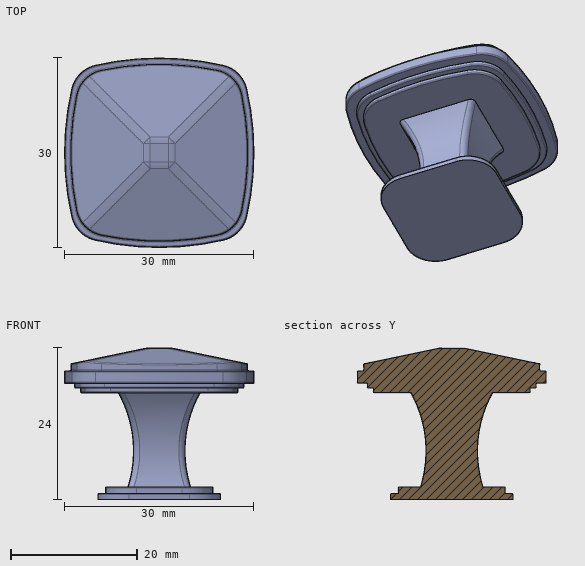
import cadquery as cq
import math

TOTAL_HEIGHT = 24.0
HEAD_WIDTH = 30.0

FOOT_TOP = 1.0
STEP_TOP = 2.0
HEAD_BOTTOM = 16.9
COLLAR_TOP = 17.65
PLATE_BOTTOM = 18.4
PLATE_TOP = 20.4

FOOT_WIDTH = 19.4
STEP_WIDTH = 17.0
LOWER_COLLAR_WIDTH = 24.9
UPPER_COLLAR_WIDTH = 26.85
CROWN_WIDTH = 28.0

CORNER_RADIUS = 5.0
SIDE_RADIUS = 45.0
FOOT_CORNER_RADIUS = 4.9

POST_BOTTOM_HALF = 4.95
POST_NECK_HALF = 4.08
POST_TOP_HALF = 6.45
NECK_HEIGHT = 7.92
POST_EDGE_RADIUS = 1.0

CROWN_SLOPE = 11.8
APEX_HALF = 1.98
RIDGE_RADIUS = 5.2

EDGE_RADIUS = 0.2


def cushion(width, bottom, top):
    """Plate with four bulging sides that run tangent into round corners."""
    half = width / 2
    side_center = SIDE_RADIUS - half
    reach = SIDE_RADIUS - CORNER_RADIUS
    corner_center = (math.sqrt(2 * reach**2 - side_center**2) - side_center) / 2
    along = SIDE_RADIUS * corner_center / reach
    out = SIDE_RADIUS * (corner_center + side_center) / reach - side_center
    corner = corner_center + CORNER_RADIUS / math.sqrt(2)
    outline = (
        cq.Workplane("XY", origin=(0, 0, bottom))
        .moveTo(-along, out)
        .threePointArc((0, half), (along, out))
        .threePointArc((corner, corner), (out, along))
        .threePointArc((half, 0), (out, -along))
        .threePointArc((corner, -corner), (along, -out))
        .threePointArc((0, -half), (-along, -out))
        .threePointArc((-corner, -corner), (-out, -along))
        .threePointArc((-half, 0), (-out, along))
        .threePointArc((-corner, corner), (-along, out))
        .close()
    )
    return outline.extrude(top - bottom)


def foot_plate(width, bottom, top):
    """Straight-sided plate with round corners and a softened top edge."""
    plate = cq.Workplane("XY", origin=(0, 0, bottom)).rect(width, width).extrude(top - bottom)
    return plate.edges("|Z").fillet(FOOT_CORNER_RADIUS).faces(">Z").edges().fillet(EDGE_RADIUS)


def flared_bar(plane):
    """Waisted profile drawn on an upright plane and extruded both ways."""
    return (
        cq.Workplane(plane)
        .moveTo(-POST_BOTTOM_HALF, STEP_TOP)
        .lineTo(POST_BOTTOM_HALF, STEP_TOP)
        .threePointArc((POST_NECK_HALF, NECK_HEIGHT), (POST_TOP_HALF, HEAD_BOTTOM))
        .lineTo(-POST_TOP_HALF, HEAD_BOTTOM)
        .threePointArc((-POST_NECK_HALF, NECK_HEIGHT), (-POST_BOTTOM_HALF, STEP_TOP))
        .close()
        .extrude(POST_TOP_HALF * 2, both=True)
    )


def post():
    """Square post flared towards both ends, with rounded upright edges."""
    flared = flared_bar("XZ").intersect(flared_bar("YZ"))
    return flared.edges("not(<Z or >Z)").fillet(POST_EDGE_RADIUS)


def pyramid():
    """Low square pyramid with a flat apex and rounded ridges."""
    height = TOTAL_HEIGHT - PLATE_TOP
    base_half = APEX_HALF + height / math.tan(math.radians(CROWN_SLOPE))
    block = (
        cq.Workplane("XY", origin=(0, 0, PLATE_TOP))
        .rect(2 * base_half, 2 * base_half)
        .workplane(offset=height)
        .rect(2 * APEX_HALF, 2 * APEX_HALF)
        .loft(ruled=True)
    )
    return block.edges("not <Z").fillet(RIDGE_RADIUS)


def crown():
    """Cushion-shaped block whose top is the pyramid, with a softened rim."""
    block = cushion(CROWN_WIDTH, PLATE_TOP, TOTAL_HEIGHT).intersect(pyramid())
    return block.edges("%BSPLINE").fillet(EDGE_RADIUS)


def head():
    """Main plate carrying the crown, blended into it by a small cove."""
    plate = cushion(HEAD_WIDTH, PLATE_BOTTOM, PLATE_TOP).faces("<Z or >Z").edges().fillet(EDGE_RADIUS)
    body = plate.union(crown())
    ledge = body.faces(cq.NearestToPointSelector((0, 0, PLATE_TOP))).val()
    return body.newObject(ledge.innerWires()[0].Edges()).fillet(EDGE_RADIUS)


def collar(width, bottom, top):
    """Thin cushion plate under the head with a softened lower edge."""
    return cushion(width, bottom, top).faces("<Z").edges().fillet(EDGE_RADIUS)


result = (
    foot_plate(FOOT_WIDTH, 0, FOOT_TOP)
    .union(foot_plate(STEP_WIDTH, FOOT_TOP, STEP_TOP))
    .union(post())
    .union(collar(LOWER_COLLAR_WIDTH, HEAD_BOTTOM, COLLAR_TOP))
    .union(collar(UPPER_COLLAR_WIDTH, COLLAR_TOP, PLATE_BOTTOM))
    .union(head())
)